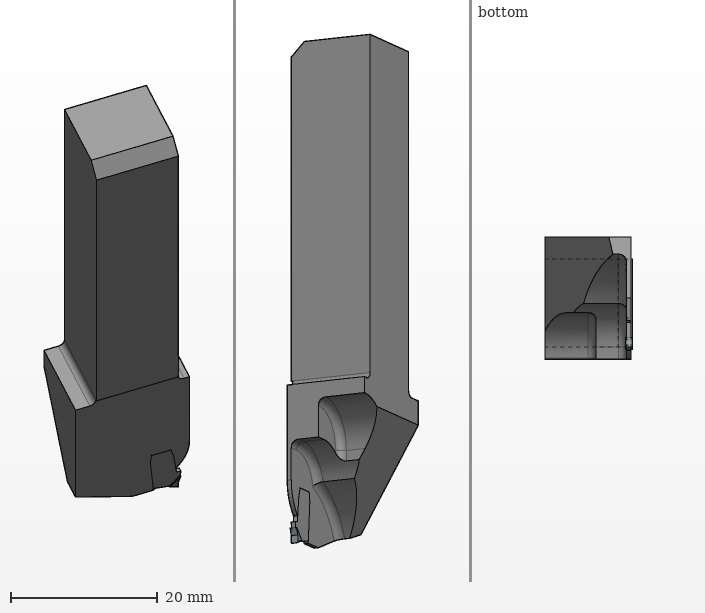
import cadquery as cq
import math


shank_width_x = 11.96
shank_width_y = 12.0
tool_height = 70.0
top_chamfer = 2.0

shoulder_z = 21.8
shoulder_radius = 0.9
shoulder_top_z = shoulder_z + shoulder_radius
front_overhang = 3.0
back_overhang = 1.7
head_front_y = -front_overhang
head_back_y = shank_width_y + back_overhang
head_right_x = 11.75

relief_start_z = 18.4
relief_angle = 31.1

heel_z = 3.95
sole_z = 0.68
sole_front_y = 5.3
sole_back_y = 8.4
nose_radius = 6.4
nose_top_z = 8.5
nose_bottom_z = 3.95

floor_fillet = 1.1
small_pocket_radius = 6.2
blade_left_x = 11.12
upper_floor_x = 7.0
upper_pocket_center = (13.5, 13.35)
blade_pocket_center = (12.0, 7.85)
sweep_pocket_radius = 13.4
sweep_pocket_center = (11.5, -2.6)

insert_top_z = 7.9
insert_shoulder_z = 6.6
insert_top_front_y = 8.15
insert_top_back_y = 10.95
insert_front_y = 7.95
insert_back_y = 11.35
insert_base = (sole_back_y, 1.0)
lip_upper = (12.45, 2.9)
neck = (11.8, 3.05)

edge_width = 1.0
edge_right_x = shank_width_x
edge_left_x = edge_right_x - edge_width
edge_corner_radius = 0.15
edge_heel = (10.7, 0.55)
edge_back = (12.35, 2.1)
tip_y = 12.0
tip_relief_z = 1.1


def extrude_x(outline, start_x, end_x):
    """Extrude a closed YZ outline between two X positions."""
    return outline.extrude(end_x - start_x).translate((start_x, 0, 0))


def make_shank():
    height = tool_height - shoulder_top_z
    shank = cq.Workplane("XY").box(shank_width_x, shank_width_y, height, centered=False)
    shank = shank.translate((0, 0, shoulder_top_z))
    return shank.faces(">Z").edges(">X").chamfer(top_chamfer)


def make_head():
    """Flared head block with concave shoulder corners and a rounded nose."""
    nose_center_y = head_back_y - nose_radius
    nose_drop = nose_top_z - nose_bottom_z
    nose_bottom_y = nose_center_y + math.sqrt(nose_radius**2 - nose_drop**2)
    outline = (
        cq.Workplane("YZ")
        .moveTo(0, shoulder_top_z)
        .radiusArc((-shoulder_radius, shoulder_z), shoulder_radius)
        .lineTo(head_front_y, shoulder_z)
        .lineTo(head_front_y, heel_z)
        .lineTo(sole_front_y, sole_z)
        .lineTo(sole_back_y, sole_z)
        .lineTo(nose_bottom_y, nose_bottom_z)
        .radiusArc((head_back_y, nose_top_z), -nose_radius)
        .lineTo(head_back_y, shoulder_z)
        .lineTo(shank_width_y + shoulder_radius, shoulder_z)
        .radiusArc((shank_width_y, shoulder_top_z), shoulder_radius)
        .close()
    )
    return extrude_x(outline, 0, head_right_x)


def make_relief():
    """Wedge that slants the left side of the head below relief_start_z."""
    reach = relief_start_z * math.tan(math.radians(relief_angle))
    wedge = cq.Workplane("XZ").polyline([(0, relief_start_z), (0, 0), (reach, 0)]).close()
    return wedge.extrude(head_back_y - head_front_y).translate((0, head_back_y, 0))


def make_pocket(center, radius, floor_x):
    """Cutter with one rounded upper corner and a filleted floor, open below and toward +Y."""
    center_y, center_z = center
    front_y = center_y - radius
    top_z = center_z + radius
    open_y = head_back_y + radius
    open_z = -radius
    outline = (
        cq.Workplane("YZ")
        .moveTo(front_y, open_z)
        .lineTo(front_y, center_z)
        .radiusArc((center_y, top_z), radius)
        .lineTo(open_y, top_z)
        .lineTo(open_y, open_z)
        .close()
    )
    pocket = extrude_x(outline, 0, floor_x)
    return pocket.faces(">X").edges(">Z").fillet(floor_fillet)


def make_insert():
    body_outline = [
        (insert_top_back_y, insert_top_z),
        (insert_top_front_y, insert_top_z),
        (insert_front_y, insert_shoulder_z),
        insert_base,
        edge_heel,
        edge_back,
        lip_upper,
        neck,
        (insert_back_y, insert_shoulder_z),
    ]
    body = extrude_x(cq.Workplane("YZ").polyline(body_outline).close(), blade_left_x, head_right_x)

    edge_outline = [edge_heel, edge_back, (tip_y, tip_relief_z), (tip_y, 0)]
    edge = extrude_x(cq.Workplane("YZ").polyline(edge_outline).close(), edge_left_x, edge_right_x)
    edge = edge.faces("<Z").edges("not |X").fillet(edge_corner_radius)
    return body.union(edge)


def make_holder(insert):
    holder = make_shank().union(make_head()).cut(make_relief())
    pockets = [
        (upper_pocket_center, small_pocket_radius, upper_floor_x),
        (blade_pocket_center, small_pocket_radius, blade_left_x),
        (sweep_pocket_center, sweep_pocket_radius, blade_left_x),
    ]
    for center, radius, floor_x in pockets:
        holder = holder.cut(make_pocket(center, radius, floor_x))
    return holder.cut(insert)


insert = make_insert()
holder = make_holder(insert)

result = cq.Compound.makeCompound([holder.val(), insert.val()])